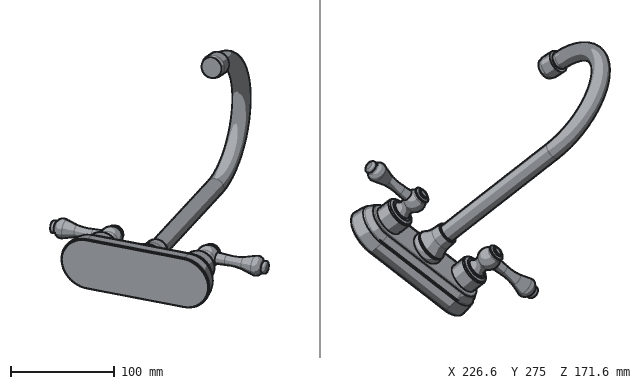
import cadquery as cq
import math

total_height = 275.0
lever_tip_x = 113.3
handle_spacing = 101.8
handle_x = handle_spacing / 2
full_turn = 360
half_turn = full_turn / 2


deck_height = 25.3
deck_radius = 27.0
deck_top_radius = 19.8
deck_ledge_y = 23.5
deck_ledge_radius = 20.4
deck_top_round = 1.0
deck_bottom_round = 1.0
deck_rim_height = 2.8
deck_band_low = (24.8, 15.5)
deck_band_high = (23.7, 16.8)
deck_lower_bulge = (26.5, 8.3)
deck_upper_bulge = (22.3, 20.4)

collar_top_y = 56.0
collar_top_radius = 11.3
collar_top_chamfer = 0.5
collar_waist_y = 46.2
collar_waist_radius = 12.0
flare_bottom_y = 33.5
flare_lip_height = 0.8
flare_bottom_radius = 16.2
flare_mid = (13.5, 39.5)
bead_top_y = 32.0
bead_neck_radius = 15.7
bead_radius = 17.0
bead_mid_y = 29.2
bead_foot_radius = 16.0

tube_radius = 9.0
bend_radius = 65.7
bend_angle = 170.0
bend_start_y = total_height - bend_radius - tube_radius
neck_length = 4.0
neck_straight_length = 2.8
neck_radius = 8.3
nozzle_length = 17.0
nozzle_radius = 11.5
nozzle_lip_length = 4.5
nozzle_face_radius = 10.5

handle_gap = 0.8
post_bottom_y = deck_height + handle_gap
post_radius = 15.7
post_side_top_y = 41.0
post_top_y = 42.5
post_top_radius = 14.9
post_lip_radius = 11.5
post_lip_y = 44.0
post_neck_bottom_y = 44.5
post_neck_bottom_radius = 9.4
post_neck_mid = (7.5, 49.5)
ball_radius = 11.3
ball_y = 61.3
ball_neck_radius = 9.5
cap_radius = 8.5
cap_groove_radius = 7.7
cap_lip_y = 71.0
cap_lip_top_y = 72.0
cap_step_y = 73.5
cap_step_radius = 5.8
cap_top_y = 74.5
cap_top_radius = 4.5

lever_root_radius = 5.8
lever_waist = (19.3, 5.2)
lever_slim = (27.5, 5.0)
lever_swell = (36.9, 6.0)
bulb_start = (48.5, 9.4)
bulb_peak = (52.0, 10.0)
bulb_end = (57.0, 6.5)
button_start = 58.0
button_neck_radius = 5.8
button_rim = (59.0, 6.3)
button_bulge = (60.8, 6.3)
button_end = lever_tip_x - handle_x
button_face_radius = 3.9


def ball_offset(radius):
    """Axial distance from the ball centre at which the ball has the given radius."""
    return math.sqrt(ball_radius**2 - radius**2)


def spin_about_y(profile):
    """Revolve a closed profile around the Y axis of its own plane."""
    return profile.revolve(full_turn, (0, 0, 0), (0, 1, 0))


def deck_half_section(plane):
    """Closed half section of the deck, from its mid plane out to the moulded side."""
    return (
        cq.Workplane(plane)
        .lineTo(deck_radius - deck_bottom_round, 0)
        .lineTo(deck_radius, deck_bottom_round)
        .lineTo(deck_radius, deck_rim_height)
        .threePointArc(deck_lower_bulge, deck_band_low)
        .lineTo(*deck_band_high)
        .threePointArc(deck_upper_bulge, (deck_ledge_radius, deck_ledge_y))
        .lineTo(deck_top_radius, deck_height - deck_top_round)
        .radiusArc((deck_top_radius - deck_top_round, deck_height), -deck_top_round)
        .lineTo(0, deck_height)
        .close()
    )


def make_deck():
    """Straight middle of the deck with a round end under each handle."""
    upper_half = deck_half_section("ZY").extrude(handle_x, both=True)
    deck = upper_half.union(upper_half.mirror("XY"))
    for x in (-handle_x, handle_x):
        round_end = spin_about_y(deck_half_section("XY"))
        deck = deck.union(round_end.translate((x, 0, 0)))
    return deck


def make_collar():
    """Bell-shaped collar at the foot of the spout, with a bead resting on the deck."""
    profile = (
        cq.Workplane("XY")
        .moveTo(0, deck_height)
        .lineTo(bead_foot_radius, deck_height)
        .threePointArc((bead_radius, bead_mid_y), (bead_neck_radius, bead_top_y))
        .lineTo(bead_neck_radius, flare_bottom_y)
        .lineTo(flare_bottom_radius, flare_bottom_y)
        .lineTo(flare_bottom_radius, flare_bottom_y + flare_lip_height)
        .threePointArc(flare_mid, (collar_waist_radius, collar_waist_y))
        .lineTo(collar_top_radius, collar_top_y - collar_top_chamfer)
        .lineTo(collar_top_radius - collar_top_chamfer, collar_top_y)
        .lineTo(0, collar_top_y)
        .close()
    )
    return spin_about_y(profile)


def make_tube():
    """Straight riser followed by the gooseneck bend towards +Z."""
    straight = cq.Workplane("XZ").circle(tube_radius).extrude(-bend_start_y)
    bend = (
        cq.Workplane("XZ", origin=(0, bend_start_y, 0))
        .circle(tube_radius)
        .revolve(bend_angle, (0, bend_radius), (tube_radius, bend_radius))
    )
    return straight.union(bend)


def make_nozzle():
    """Short neck and wider nozzle along the outlet direction at the end of the bend."""
    angle = math.radians(bend_angle)
    end_y = bend_start_y + bend_radius * math.sin(angle)
    end_z = bend_radius * (1 - math.cos(angle))
    outlet = cq.Vector(0, math.cos(angle), math.sin(angle))
    across = cq.Vector(1, 0, 0)
    end_plane = cq.Plane(origin=(0, end_y, end_z), xDir=across, normal=across.cross(outlet))
    nozzle_end = neck_length + nozzle_length
    profile = (
        cq.Workplane(end_plane)
        .lineTo(tube_radius, 0)
        .lineTo(tube_radius, neck_straight_length)
        .lineTo(neck_radius, neck_length)
        .lineTo(nozzle_radius, neck_length)
        .lineTo(nozzle_radius, nozzle_end - nozzle_lip_length)
        .lineTo(nozzle_face_radius, nozzle_end)
        .lineTo(0, nozzle_end)
        .close()
    )
    return spin_about_y(profile)


def make_faucet_body():
    """Deck, collar, spout tube and nozzle as one solid."""
    return make_deck().union(make_collar()).union(make_tube()).union(make_nozzle())


def make_post():
    """Turned handle post: drum, waisted neck, ball and stepped cap."""
    profile = (
        cq.Workplane("XY")
        .moveTo(0, post_bottom_y)
        .lineTo(post_radius, post_bottom_y)
        .lineTo(post_radius, post_side_top_y)
        .lineTo(post_top_radius, post_top_y)
        .lineTo(post_lip_radius, post_lip_y)
        .lineTo(post_lip_radius, post_neck_bottom_y)
        .lineTo(post_neck_bottom_radius, post_neck_bottom_y)
        .threePointArc(post_neck_mid, (ball_neck_radius, ball_y - ball_offset(ball_neck_radius)))
        .threePointArc((ball_radius, ball_y), (cap_radius, ball_y + ball_offset(cap_radius)))
        .lineTo(cap_groove_radius, cap_lip_y)
        .lineTo(cap_radius, cap_lip_y)
        .lineTo(cap_radius, cap_lip_top_y)
        .lineTo(cap_step_radius, cap_step_y)
        .lineTo(cap_top_radius, cap_step_y)
        .lineTo(cap_top_radius, cap_top_y)
        .lineTo(0, cap_top_y)
        .close()
    )
    return spin_about_y(profile)


def make_lever():
    """Turned lever from the ball centre out to the button at its tip, along +X."""
    profile = (
        cq.Workplane("XY")
        .lineTo(0, lever_root_radius)
        .lineTo(ball_offset(lever_root_radius), lever_root_radius)
        .lineTo(*lever_waist)
        .threePointArc(lever_slim, lever_swell)
        .lineTo(*bulb_start)
        .threePointArc(bulb_peak, bulb_end)
        .lineTo(button_start, button_neck_radius)
        .lineTo(*button_rim)
        .threePointArc(button_bulge, (button_end, button_face_radius))
        .lineTo(button_end, 0)
        .close()
    )
    return profile.revolve(full_turn, (0, 0, 0), (1, 0, 0)).translate((0, ball_y, 0))


def make_handle(turn):
    """One handle, turned about the faucet's Y axis."""
    handle = make_post().union(make_lever()).translate((handle_x, 0, 0))
    return handle.rotate((0, 0, 0), (0, 1, 0), turn)


faucet_body = make_faucet_body()
handles = [make_handle(turn) for turn in (0, half_turn)]

result = cq.Compound.makeCompound([faucet_body.val(), *[handle.val() for handle in handles]])